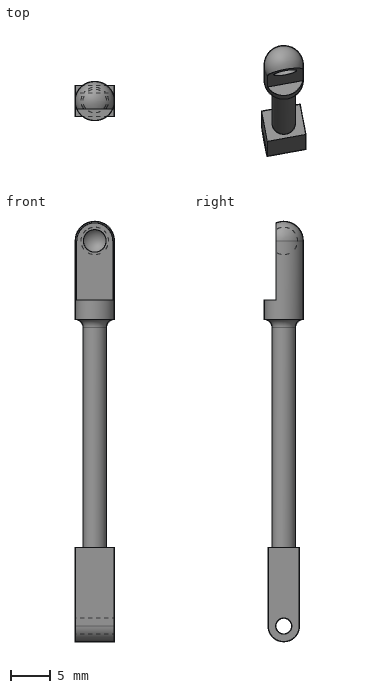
import cadquery as cq

total_height = 53.5

eye_width = 5.0
eye_thickness = 4.0
eye_height = 12.0
eye_hole_diameter = 2.0

shaft_diameter = 3.0

head_diameter = 5.0
head_bottom_z = 41.0

flat_offset = 1.0
flat_height = 7.5
socket_diameter = 3.5

eye_radius = eye_thickness / 2
shaft_radius = shaft_diameter / 2
head_radius = head_diameter / 2
neck_radius = head_radius - shaft_radius
dome_center_z = total_height - head_radius
step_z = dome_center_z - flat_height


def make_eye():
    """Block with a half-round lower end and a cross hole along X."""
    half_width = eye_width / 2
    block = (
        cq.Workplane("YZ")
        .workplane(offset=-half_width)
        .moveTo(-eye_radius, eye_height)
        .lineTo(-eye_radius, eye_radius)
        .threePointArc((0, 0), (eye_radius, eye_radius))
        .lineTo(eye_radius, eye_height)
        .close()
        .extrude(eye_width)
    )
    hole = (
        cq.Workplane("YZ")
        .workplane(offset=-half_width)
        .center(0, eye_radius)
        .circle(eye_hole_diameter / 2)
        .extrude(eye_width)
    )
    return block.cut(hole)


def make_rod():
    """Shaft, concave neck and domed head, revolved about Z."""
    neck_bottom_z = head_bottom_z - neck_radius
    return (
        cq.Workplane("XZ")
        .moveTo(0, eye_height)
        .lineTo(shaft_radius, eye_height)
        .lineTo(shaft_radius, neck_bottom_z)
        .radiusArc((head_radius, head_bottom_z), neck_radius)
        .lineTo(head_radius, dome_center_z)
        .radiusArc((0, total_height), -head_radius)
        .close()
        .revolve(360, (0, 0, 0), (0, 1, 0))
    )


def make_flat_cutter():
    """Box that removes the -Y side of the head above the step."""
    depth = head_radius - flat_offset
    height = total_height - step_z
    box = cq.Workplane("XY").box(head_diameter, depth, height, centered=(True, False, False))
    return box.translate((0, -head_radius, step_z))


def make_socket_cutter():
    """Ball concentric with the dome, opening through the flat."""
    ball = cq.Workplane("XY").sphere(socket_diameter / 2)
    return ball.translate((0, 0, dome_center_z))


rod = make_rod().cut(make_flat_cutter()).cut(make_socket_cutter())
result = make_eye().union(rod)